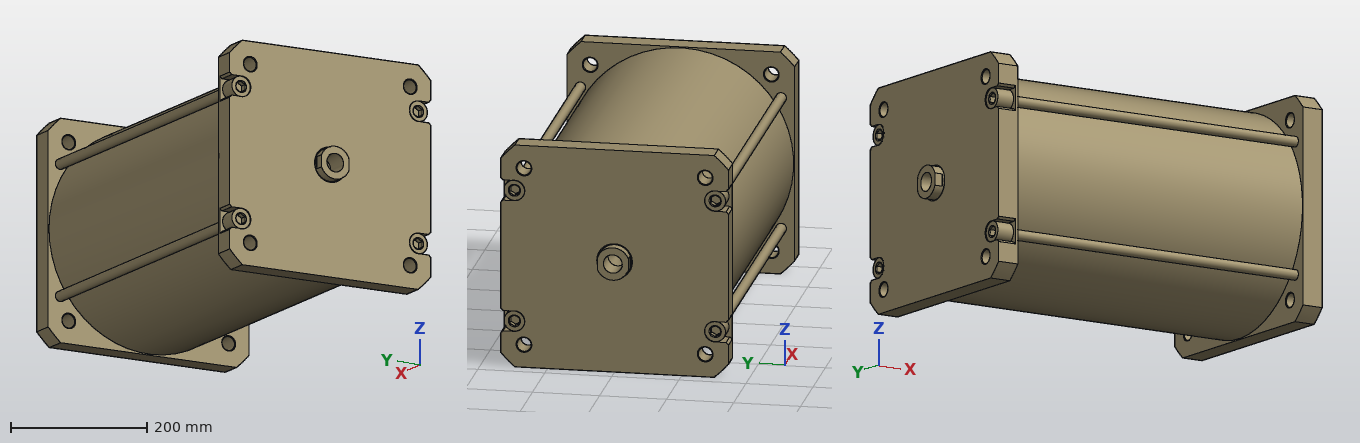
import cadquery as cq
import math

total_length = 585.0
rod_projection = 14.5
plate_thickness = 34.0
plate_side = 340.0
plate_corner_diameter = 451.5
barrel_diameter = 337.0

mount_hole_diameter = 21.0
mount_hole_chamfer = 1.0
mount_hole_offset = 135.0

rod_diameter = 50.0
rod_bore_chamfer = 2.0
rod_across_flats = 46.0
flat_length = 13.0
axial_hole_diameter = 28.0
axial_hole_depth = 47.0
drill_point_angle = 118.0

bolt_offset_y = 150.0
bolt_offset_z = 100.0
bolt_shank_diameter = 16.0
bolt_head_diameter = 31.0
bolt_head_recess = 2.0
socket_across_flats = 14.5
socket_depth = 11.5
countersink_diameter = 18.0
countersink_depth = 2.0
pocket_depth = 29.0
pocket_mouth_chamfer = 3.5

barrel_start = plate_thickness
rear_plate_start = total_length - rod_projection - plate_thickness
SIGNS = (-1, 1)
CORNER_SIGNS = [(side, level) for side in SIGNS for level in SIGNS]


def cylinder_x(diameter, start, end, y=0.0, z=0.0):
    """Round bar parallel to X."""
    return (
        cq.Workplane("YZ", origin=(start, 0, 0))
        .center(y, z)
        .circle(diameter / 2)
        .extrude(end - start)
    )


def cone_x(start_diameter, end_diameter, start, end, y=0.0, z=0.0):
    """Truncated cone with its axis parallel to X."""
    return (
        cq.Workplane("YZ", origin=(start, y, z))
        .circle(start_diameter / 2)
        .workplane(offset=end - start)
        .circle(end_diameter / 2)
        .loft()
    )


def chamfered_hole(diameter, chamfer, start, y=0.0, z=0.0):
    """Cutter for a hole through a plate, chamfered on the plate's -X face."""
    bore = cylinder_x(diameter, start, start + plate_thickness, y, z)
    return bore.union(cone_x(diameter + 2 * chamfer, diameter, start, start + chamfer, y, z))


def make_plate(start):
    """Square plate with turned corners and four mounting holes."""
    plate = cq.Workplane("YZ", origin=(start, 0, 0)).rect(plate_side, plate_side).extrude(plate_thickness)
    plate = plate.intersect(cylinder_x(plate_corner_diameter, start, start + plate_thickness))
    for side, level in CORNER_SIGNS:
        y = side * mount_hole_offset
        z = level * mount_hole_offset
        plate = plate.cut(chamfered_hole(mount_hole_diameter, mount_hole_chamfer, start, y, z))
    return plate


def make_bolt_pocket(side, level):
    """Cutter for one bolt head: a round-ended slot, open at the plate side with a flared mouth."""
    center_y = side * bolt_offset_y
    edge_y = side * plate_side / 2
    flare_y = edge_y - side * pocket_mouth_chamfer
    half_width = bolt_head_diameter / 2
    mouth_half_width = half_width + pocket_mouth_chamfer
    slot = (
        cq.Workplane("YZ")
        .moveTo(center_y, half_width)
        .lineTo(flare_y, half_width)
        .lineTo(edge_y, mouth_half_width)
        .lineTo(edge_y, -mouth_half_width)
        .lineTo(flare_y, -half_width)
        .lineTo(center_y, -half_width)
        .threePointArc((center_y - side * half_width, 0), (center_y, half_width))
        .close()
        .extrude(pocket_depth)
    )
    return slot.translate((0, 0, level * bolt_offset_z))


def make_front_plate():
    """Plate with the rod bore, the bolt head pockets and the bolt shank holes."""
    plate = make_plate(0).cut(chamfered_hole(rod_diameter, rod_bore_chamfer, 0))
    for side, level in CORNER_SIGNS:
        plate = plate.cut(make_bolt_pocket(side, level))
        shank_hole = cylinder_x(
            bolt_shank_diameter, 0, plate_thickness, side * bolt_offset_y, level * bolt_offset_z
        )
        plate = plate.cut(shank_hole)
    return plate


def make_rod():
    """Piston rod end with two wrench flats and a drilled axial hole."""
    rod = cylinder_x(rod_diameter, -rod_projection, barrel_start)
    flat_cut_depth = (rod_diameter - rod_across_flats) / 2
    for side in SIGNS:
        flat = cq.Workplane("XY").box(flat_length, flat_cut_depth, rod_diameter)
        flat_y = side * (rod_across_flats + flat_cut_depth) / 2
        rod = rod.cut(flat.translate((flat_length / 2 - rod_projection, flat_y, 0)))
    hole_radius = axial_hole_diameter / 2
    bottom = axial_hole_depth - rod_projection
    point_length = hole_radius / math.tan(math.radians(drill_point_angle / 2))
    drilled_hole = (
        cq.Workplane("XY")
        .moveTo(-rod_projection, 0)
        .lineTo(-rod_projection, hole_radius)
        .lineTo(bottom - point_length, hole_radius)
        .lineTo(bottom, 0)
        .close()
        .revolve(360, (0, 0, 0), (1, 0, 0))
    )
    return rod.cut(drilled_hole)


def make_tie_bolt(side, level):
    """Socket head bolt running from its pocket to the inner face of the rear plate."""
    y = side * bolt_offset_y
    z = level * bolt_offset_z
    head = cylinder_x(bolt_head_diameter, bolt_head_recess, pocket_depth, y, z)
    shank = cylinder_x(bolt_shank_diameter, pocket_depth, rear_plate_start, y, z)
    socket = (
        cq.Workplane("YZ", origin=(bolt_head_recess, y, z))
        .polygon(6, socket_across_flats, circumscribed=True)
        .extrude(socket_depth)
    )
    socket_mouth = bolt_head_recess + countersink_depth
    countersink = cone_x(countersink_diameter, socket_across_flats, bolt_head_recess, socket_mouth, y, z)
    return head.union(shank).cut(socket).cut(countersink)


front_plate = make_front_plate()
rear_plate = make_plate(rear_plate_start)
barrel = cylinder_x(barrel_diameter, barrel_start, rear_plate_start)
rod = make_rod()
tie_bolts = [make_tie_bolt(side, level) for side, level in CORNER_SIGNS]

result = cq.Compound.makeCompound(
    [front_plate.val(), rear_plate.val(), barrel.val(), rod.val(), *[bolt.val() for bolt in tie_bolts]]
)